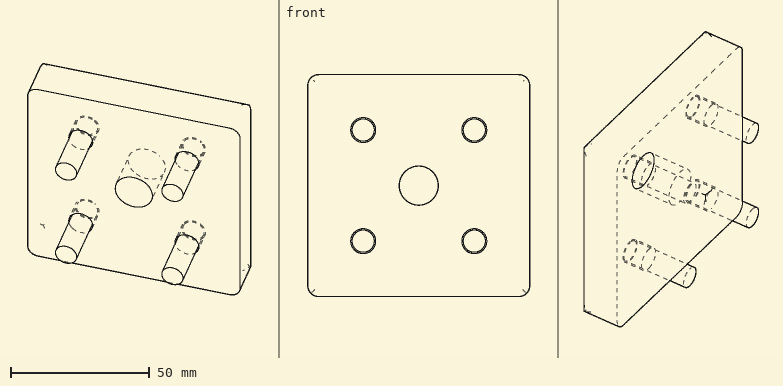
import cadquery as cq

plate_side = 80.0
plate_thickness = 16.0
corner_radius = 4.0
back_edge_radius = 3.0

center_hole_diameter = 14.0

pin_diameter = 8.0
pin_projection = 18.0
pin_spacing = 40.0
pocket_diameter = 9.0
pocket_depth = 8.0


def cylinder_along_y(diameter, y_start, y_end, x=0.0, z=0.0):
    """Solid cylinder parallel to Y, reaching from y_start to y_end."""
    return cq.Workplane(
        cq.Solid.makeCylinder(
            diameter / 2, y_end - y_start, cq.Vector(x, y_start, z), cq.Vector(0, 1, 0)
        )
    )


def square_block():
    """Sharp-cornered block of the plate, centred on the Y axis."""
    block = cq.Workplane("XY").box(plate_side, plate_thickness, plate_side)
    return block.translate((0, plate_thickness / 2, 0))


def rounded_plate():
    """Block with mitred round-overs on the back edges, trimmed to a rounded square."""
    back_rounded = square_block().faces(">Y").edges().fillet(back_edge_radius)
    corner_rounded = square_block().edges("|Y").fillet(corner_radius)
    return back_rounded.intersect(corner_rounded)


def add_pin(body, x, z):
    """Cut a blind pocket in the front face and stand a pin on its floor."""
    pocket = cylinder_along_y(pocket_diameter, 0, pocket_depth, x, z)
    pin = cylinder_along_y(pin_diameter, -pin_projection, pocket_depth, x, z)
    return body.cut(pocket).union(pin)


result = rounded_plate().cut(cylinder_along_y(center_hole_diameter, 0, plate_thickness))
for x_sign in (-1, 1):
    for z_sign in (-1, 1):
        result = add_pin(result, x_sign * pin_spacing / 2, z_sign * pin_spacing / 2)